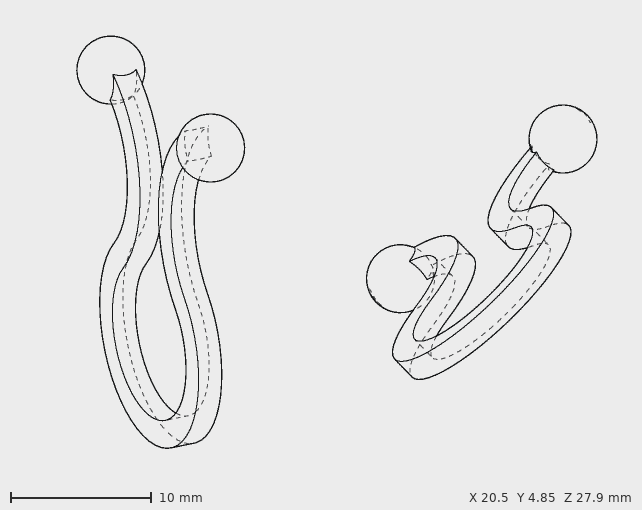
import cadquery as cq
import math

strip_width = 2.0
strip_thickness = 1.85
loop_radius = 6.75
arm_radius = 8.4
arm_gap = 2.85
ball_diameter = 4.85
overall_width = 20.46
overall_height = 27.95

half_strip = strip_width / 2
loop_outer_radius = loop_radius + half_strip

ball_radius = ball_diameter / 2
ball_x = overall_width / 2 - ball_radius
ball_z = overall_height - loop_outer_radius - ball_radius

arm_center_x = arm_gap / 2 + half_strip + arm_radius
center_distance = loop_radius + arm_radius
arm_center_z = math.sqrt(center_distance**2 - arm_center_x**2)
junction_angle = math.atan2(arm_center_z, arm_center_x)

arm_start_angle = math.pi + junction_angle
arm_end_angle = math.atan2(ball_z - arm_center_z, ball_x - arm_center_x)
arm_mid_angle = (arm_start_angle + arm_end_angle) / 2


def loop_point(radius, angle):
    return (radius * math.cos(angle), radius * math.sin(angle))


def arm_point(side, radius, angle):
    """Point on an arm arc; side is 1 for the +X arm and -1 for the -X arm."""
    x = side * (arm_center_x + radius * math.cos(angle))
    z = arm_center_z + radius * math.sin(angle)
    return (x, z)


def make_strip():
    """Flat strip: one closed outline around the loop and both arms, centred on Y."""
    loop_inner_radius = loop_radius - half_strip
    gap_side_radius = arm_radius + half_strip
    far_side_radius = arm_radius - half_strip
    left_junction_angle = math.pi - junction_angle
    outline = (
        cq.Workplane("XZ")
        .moveTo(*arm_point(-1, far_side_radius, arm_end_angle))
        .threePointArc(
            arm_point(-1, far_side_radius, arm_mid_angle),
            loop_point(loop_outer_radius, left_junction_angle),
        )
        .threePointArc(
            (0, -loop_outer_radius),
            loop_point(loop_outer_radius, junction_angle),
        )
        .threePointArc(
            arm_point(1, far_side_radius, arm_mid_angle),
            arm_point(1, far_side_radius, arm_end_angle),
        )
        .lineTo(*arm_point(1, gap_side_radius, arm_end_angle))
        .threePointArc(
            arm_point(1, gap_side_radius, arm_mid_angle),
            loop_point(loop_inner_radius, junction_angle),
        )
        .threePointArc(
            (0, -loop_inner_radius),
            loop_point(loop_inner_radius, left_junction_angle),
        )
        .threePointArc(
            arm_point(-1, gap_side_radius, arm_mid_angle),
            arm_point(-1, gap_side_radius, arm_end_angle),
        )
        .close()
    )
    return outline.extrude(strip_thickness / 2, both=True)


def make_ball(side):
    """Ball that encloses the end of one arm."""
    return cq.Workplane("XY").sphere(ball_radius).translate((side * ball_x, 0, ball_z))


result = make_strip()
for side in (-1, 1):
    result = result.union(make_ball(side))